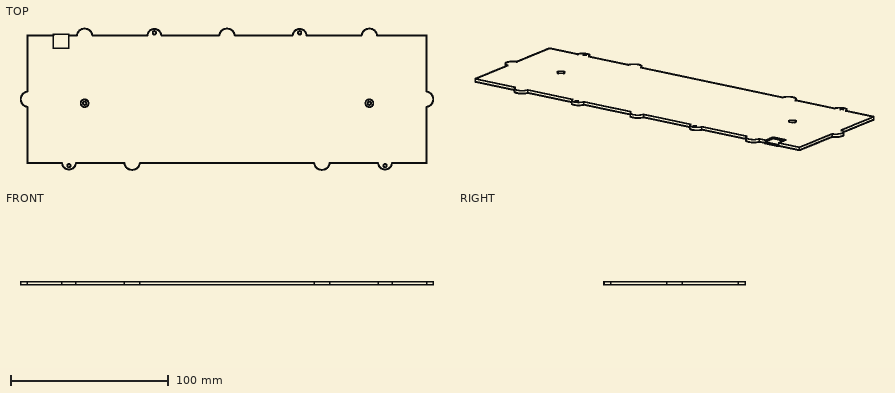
import cadquery as cq

overall_length = 261.2
overall_width = 89.5
thickness = 2.0
plate_length = 252.5
plate_width = 81.0

plain_tab_radius = 5.0
drilled_tab_radius = 4.5
drilled_tab_inset = 0.4
tab_hole_diameter = 2.0
tab_hole_offset = 1.5

back_plain_tab_x = 90.0
front_plain_tab_x = 60.0
back_drilled_tab_x = 46.0
front_drilled_tab_x = 100.0

screw_x = back_plain_tab_x
screw_y = -2.5
screw_hole_diameter = 2.0
countersink_diameter = 5.0
countersink_angle = 90

pad_length = 10.0
pad_width = 9.0
pad_x = -105.0
pad_overhang = 0.8
pad_sink = 1.0

back_edge = plate_width / 2
plain_tab_x = overall_length / 2 - plain_tab_radius
plain_tab_y = overall_width / 2 - plain_tab_radius
drilled_tab_y = back_edge - drilled_tab_inset
tab_hole_y = back_edge + tab_hole_offset
pad_y = back_edge + pad_overhang - pad_width / 2


def mirrored(x, y):
    """Two points placed symmetrically about X = 0."""
    return [(-x, y), (x, y)]


def discs(points, radius):
    """Full-thickness discs centred on the given points."""
    return cq.Workplane("XY").pushPoints(points).circle(radius).extrude(thickness)


def pad_block(height):
    """Block with the pad's footprint, standing on Z = 0."""
    return (
        cq.Workplane("XY")
        .center(pad_x, pad_y)
        .rect(pad_length, pad_width)
        .extrude(height)
    )


plate = cq.Workplane("XY").rect(plate_length, plate_width).extrude(thickness)

plain_tabs = [(0, plain_tab_y)]
plain_tabs += mirrored(back_plain_tab_x, plain_tab_y)
plain_tabs += mirrored(front_plain_tab_x, -plain_tab_y)
plain_tabs += mirrored(plain_tab_x, 0)

drilled_tabs = mirrored(back_drilled_tab_x, drilled_tab_y)
drilled_tabs += mirrored(front_drilled_tab_x, -drilled_tab_y)

plate = plate.union(discs(plain_tabs, plain_tab_radius))
plate = plate.union(discs(drilled_tabs, drilled_tab_radius))

plate = plate.cut(pad_block(thickness))
plate = plate.union(pad_block(thickness - pad_sink))

tab_holes = mirrored(back_drilled_tab_x, tab_hole_y)
tab_holes += mirrored(front_drilled_tab_x, -tab_hole_y)
plate = plate.cut(discs(tab_holes, tab_hole_diameter / 2))

result = (
    plate.faces(">Z")
    .workplane(origin=(0, 0, thickness))
    .pushPoints(mirrored(screw_x, screw_y))
    .cskHole(screw_hole_diameter, countersink_diameter, countersink_angle)
)